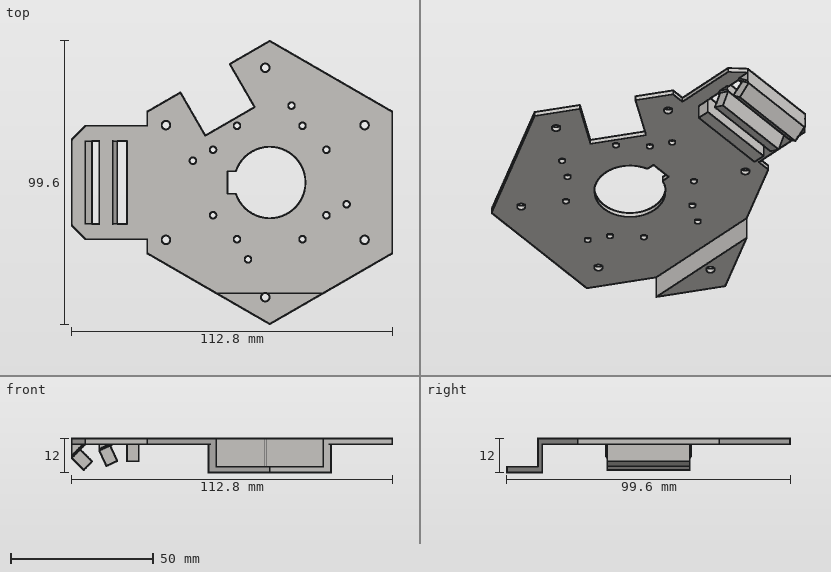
import cadquery as cq
import math

hexagon_diameter = 99.6
hexagon_sides = 6
plate_thickness = 2.0
hexagon_radius = hexagon_diameter / 2
half_side_angle = 180 / hexagon_sides
hexagon_apothem = hexagon_radius * math.cos(math.radians(half_side_angle))

total_height = 12.0
step_y = -38.9
wall_thickness = 1.6

opening_radius = 12.5
key_depth_from_center = 14.8
key_width = 7.9

mount_hole_diameter = 2.9
mount_circle_diameter = 80.6
mount_center_x = -1.6

small_hole_diameter = 2.3
inner_circle_radius = 23.0
inner_half_angle = 15
outer_circle_radius = 28.1
outer_first_angle = 74.2

notch_width = 20.0
notch_depth = 17.5
notch_angle = 120

overall_length = 112.8
tab_width = 39.9
strip_width = 4.8
slot_length = 29.1
tab_end_x = hexagon_apothem - overall_length
tab_end_width = tab_width - 2 * strip_width
slot_xs = [tab_end_x + strip_width, tab_end_x + 3 * strip_width]

bar_width = 4.3
bar_length = 6.0
bar_angles = [45, 25, 0]
wedge_chamfer = (tab_end_width - slot_length) / 2


def make_box(x_range, y_range, z_range):
    """Box between the given limits along X, Y and Z."""
    size = [high - low for low, high in (x_range, y_range, z_range)]
    corner = (x_range[0], y_range[0], z_range[0])
    return cq.Workplane("XY").box(*size, centered=False).translate(corner)


def make_hexagon(bottom, top):
    """Hexagonal prism with corners on +Y and -Y."""
    prism = cq.Workplane("XY").polygon(hexagon_sides, hexagon_diameter).extrude(top - bottom)
    return prism.rotate((0, 0, 0), (0, 0, 1), half_side_angle).translate((0, 0, bottom))


def make_stepped_plate():
    """Hexagon whose -Y corner drops to a lower level."""
    prism = make_hexagon(-total_height, 0)
    x_range = (-hexagon_radius, hexagon_radius)
    wall_back_y = step_y + wall_thickness
    above_corner = make_box(
        x_range, (-hexagon_radius, step_y), (plate_thickness - total_height, 0)
    )
    below_plate = make_box(
        x_range, (wall_back_y, hexagon_radius), (-total_height, -plate_thickness)
    )
    return prism.cut(above_corner).cut(below_plate)


def make_tab():
    """Tab with its two outer corners cut at 45 degrees."""
    tab = make_box(
        (tab_end_x, 0), (-tab_width / 2, tab_width / 2), (-plate_thickness, 0)
    )
    return tab.edges("|Z and <X").chamfer(strip_width)


def make_bar(left_x, angle):
    """Bar on a wedge-shaped foot, turned about the lower left edge of the wedge."""
    drop = strip_width * math.tan(math.radians(angle))
    pivot = (left_x, 0, -plate_thickness - drop)
    bar = make_box(
        (0, bar_width), (-slot_length / 2, slot_length / 2), (-bar_length, 0)
    )
    if angle == 0:
        return bar.translate(pivot)
    bar = bar.rotate((0, 0, 0), (0, 1, 0), -angle).translate(pivot)
    wedge = (
        cq.Workplane("XZ", origin=(left_x, 0, -plate_thickness))
        .polyline([(0, 0), (strip_width, 0), (0, -drop)])
        .close()
        .extrude(tab_end_width / 2, both=True)
    )
    slope_normal = cq.Vector(drop, 0, -strip_width)
    sloped_face = wedge.faces(cq.selectors.DirectionNthSelector(slope_normal, -1))
    wedge = sloped_face.edges("#Y").chamfer(wedge_chamfer)
    return bar.union(wedge)


def polar_points(radius, angles, center_x=0):
    """Points on a circle whose centre lies on the X axis."""
    return [
        (
            center_x + radius * math.cos(math.radians(angle)),
            radius * math.sin(math.radians(angle)),
        )
        for angle in angles
    ]


def make_holes(points, diameter):
    """Cylinders that pass through the full height."""
    return (
        cq.Workplane("XY", origin=(0, 0, -total_height))
        .pushPoints(points)
        .circle(diameter / 2)
        .extrude(total_height)
    )


def make_opening():
    """Round opening with a rectangular key on its -X side."""
    round_part = make_holes([(0, 0)], 2 * opening_radius)
    key = make_box(
        (-key_depth_from_center, 0), (-key_width / 2, key_width / 2), (-total_height, 0)
    )
    return round_part.union(key)


def make_notch():
    """Rectangular notch cut square to the upper left edge."""
    floor_distance = hexagon_apothem - notch_depth
    shift = -mount_center_x * math.sin(math.radians(notch_angle))
    notch = make_box(
        (floor_distance, hexagon_radius),
        (shift - notch_width / 2, shift + notch_width / 2),
        (-total_height, 0),
    )
    return notch.rotate((0, 0, 0), (0, 0, 1), notch_angle)


body = make_stepped_plate().union(make_tab())

for slot_x in slot_xs:
    body = body.cut(make_box(
        (slot_x, slot_x + strip_width),
        (-slot_length / 2, slot_length / 2),
        (-plate_thickness, 0),
    ))

for index, bar_angle in enumerate(bar_angles):
    body = body.union(make_bar(tab_end_x + 2 * index * strip_width, bar_angle))

mount_angles = [half_side_angle * (2 * side + 1) for side in range(hexagon_sides)]
mount_points = polar_points(mount_circle_diameter / 2, mount_angles, mount_center_x)
inner_angles = [
    diagonal + side * inner_half_angle
    for diagonal in range(45, 405, 90)
    for side in (-1, 1)
]
inner_points = polar_points(inner_circle_radius, inner_angles)
outer_angles = [outer_first_angle + quarter * 90 for quarter in range(4)]
outer_points = polar_points(outer_circle_radius, outer_angles)

body = body.cut(make_opening())
body = body.cut(make_notch())
body = body.cut(make_holes(mount_points, mount_hole_diameter))
body = body.cut(make_holes(inner_points + outer_points, small_hole_diameter))

result = body